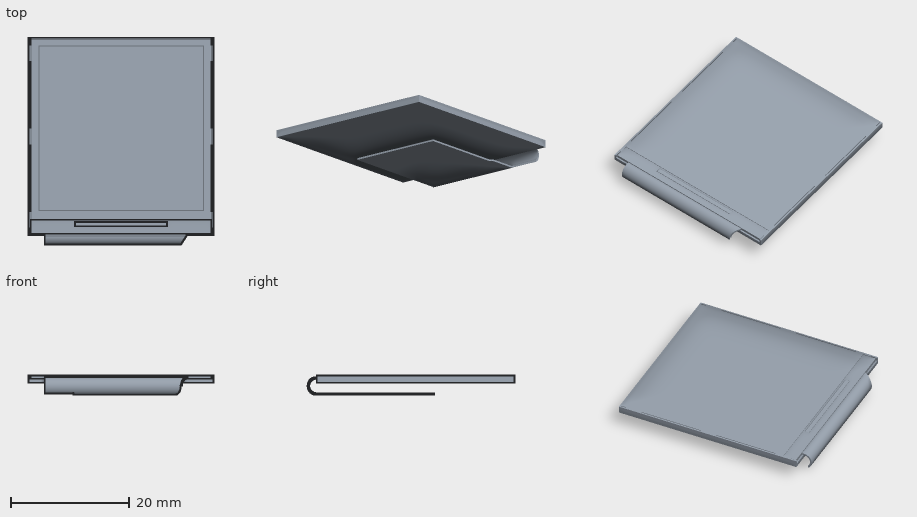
import cadquery as cq
import math


FRAME_WIDTH = 31.39
FRAME_LENGTH = 33.5
FRAME_HEIGHT = 1.25
WALL = 0.28
SIDE_GAP = 0.13
PAD_LENGTH = 2.9
PAD_SPACING = 14.1
BACK_Y = FRAME_LENGTH / 2
FRONT_Y = -BACK_Y

FLEX_TOP_Z = -0.28
FLEX_BOTTOM_Z = -3.3
FLEX_THICKNESS = 0.3
BEND_OUTER = (FLEX_TOP_Z - FLEX_BOTTOM_Z) / 2
BEND_INNER = BEND_OUTER - FLEX_THICKNESS
BEND_REACH = 1.56
BEND_Y = FRONT_Y - BEND_REACH + BEND_OUTER
BEND_Z = FLEX_TOP_Z - BEND_OUTER
CAVITY_DEPTH = FLEX_THICKNESS - FLEX_TOP_Z

FLEX_LEFT_X = -12.95
FLEX_RIGHT_X = 11.33
RIGHT_SLANT = math.tan(math.radians(33))
TAIL_LEFT_X = -8.05
TAIL_RIGHT_X = 9.2
TAIL_END_Y = 3.17
LEFT_END_Y = FRONT_Y - 0.82
TAIL_STEP_Y = -11.9
TAIL_STEP_RADIUS = 0.26

GLASS_WIDTH = FRAME_WIDTH - 2 * (WALL + SIDE_GAP)
GLASS_BACK_Y = BACK_Y - WALL
GLASS_FRONT_Y = FRONT_Y + 0.28
LEDGE_BACK_Y = FRONT_Y + 2.63
LEDGE_DEPTH = 0.1
ACTIVE_SIZE = 27.84
ACTIVE_BACK_Y = BACK_Y - 1.38

CHIP_WIDTH = 15.7
CHIP_BACK_Y = FRONT_Y + 2.35
CHIP_FRONT_Y = FRONT_Y + 1.52
CHIP_HEIGHT = LEDGE_DEPTH
CHIP_TAPER = 0.13

MARGIN = 1.0


def block(x_min, x_max, y_min, y_max, z_min, z_max):
    """Box given by its limits."""
    size = (x_max - x_min, y_max - y_min, z_max - z_min)
    return cq.Workplane("XY").box(*size, centered=False).translate((x_min, y_min, z_min))


def centred_block(width, y_min, y_max, z_min, z_max):
    """Box that is symmetric about X = 0."""
    return block(-width / 2, width / 2, y_min, y_max, z_min, z_max)


def make_frame():
    """Tray that is open at the front, with pads on its side walls."""
    cavity_width = FRAME_WIDTH - 2 * WALL
    frame = centred_block(FRAME_WIDTH, FRONT_Y, BACK_Y, -FRAME_HEIGHT, 0)
    cavity = centred_block(cavity_width, FRONT_Y - MARGIN, GLASS_BACK_Y, -CAVITY_DEPTH, MARGIN)
    frame = frame.cut(cavity)
    for index in (-1, 0, 1):
        pad_front = index * PAD_SPACING - PAD_LENGTH / 2
        pad_pair = centred_block(cavity_width, pad_front, pad_front + PAD_LENGTH, -CAVITY_DEPTH, 0)
        glass_room = centred_block(GLASS_WIDTH, FRONT_Y, BACK_Y, -CAVITY_DEPTH, 0)
        frame = frame.union(pad_pair.cut(glass_room))
    return frame


def make_chip():
    """Driver chip with an upright front and sloping back and ends."""
    top_width = CHIP_WIDTH - 2 * CHIP_TAPER
    base_depth = CHIP_BACK_Y - CHIP_FRONT_Y
    top_depth = base_depth - CHIP_TAPER
    return (
        cq.Workplane("XY", origin=(0, CHIP_FRONT_Y, -LEDGE_DEPTH))
        .center(0, base_depth / 2)
        .rect(CHIP_WIDTH, base_depth)
        .workplane(offset=CHIP_HEIGHT)
        .center(0, (top_depth - base_depth) / 2)
        .rect(top_width, top_depth)
        .loft()
    )


def make_glass():
    """Glass with a lower strip along the front that carries the driver chip."""
    glass = centred_block(GLASS_WIDTH, GLASS_FRONT_Y, GLASS_BACK_Y, -CAVITY_DEPTH, 0)
    strip = centred_block(FRAME_WIDTH, FRONT_Y, LEDGE_BACK_Y, -LEDGE_DEPTH, MARGIN)
    return glass.cut(strip).union(make_chip())


def make_active_area():
    """Square lit area, level with the glass."""
    return centred_block(ACTIVE_SIZE, ACTIVE_BACK_Y - ACTIVE_SIZE, ACTIVE_BACK_Y, -LEDGE_DEPTH, 0)


def make_flex_band():
    """C-shaped band: short upper flat, half-round bend and full-width lower flat."""
    return (
        cq.Workplane("YZ")
        .moveTo(GLASS_FRONT_Y, FLEX_TOP_Z)
        .lineTo(BEND_Y, FLEX_TOP_Z)
        .threePointArc((BEND_Y - BEND_OUTER, BEND_Z), (BEND_Y, FLEX_BOTTOM_Z))
        .lineTo(TAIL_END_Y, FLEX_BOTTOM_Z)
        .lineTo(TAIL_END_Y, FLEX_BOTTOM_Z + FLEX_THICKNESS)
        .lineTo(BEND_Y, FLEX_BOTTOM_Z + FLEX_THICKNESS)
        .threePointArc((BEND_Y - BEND_INNER, BEND_Z), (BEND_Y, FLEX_TOP_Z - FLEX_THICKNESS))
        .lineTo(GLASS_FRONT_Y, FLEX_TOP_Z - FLEX_THICKNESS)
        .close()
        .extrude(FLEX_RIGHT_X - FLEX_LEFT_X)
        .translate((FLEX_LEFT_X, 0, 0))
    )


def right_slant_cut():
    """Two wedges that narrow the right edge, first toward the bend's tip and then back."""
    tip_y = BEND_Y - BEND_OUTER
    tip_x = FLEX_RIGHT_X - RIGHT_SLANT * (GLASS_FRONT_Y - tip_y)
    tail_slant_end_y = tip_y + (tip_x - TAIL_RIGHT_X) / RIGHT_SLANT
    outside_x = FLEX_RIGHT_X + MARGIN
    upper_wedge = (
        cq.Workplane("XY", origin=(0, 0, BEND_Z))
        .moveTo(FLEX_RIGHT_X, GLASS_FRONT_Y)
        .lineTo(tip_x, tip_y)
        .lineTo(outside_x, tip_y)
        .lineTo(outside_x, GLASS_FRONT_Y)
        .close()
        .extrude(BEND_OUTER + MARGIN)
    )
    lower_wedge = (
        cq.Workplane("XY", origin=(0, 0, BEND_Z))
        .moveTo(tip_x, tip_y)
        .lineTo(TAIL_RIGHT_X, tail_slant_end_y)
        .lineTo(TAIL_RIGHT_X, TAIL_END_Y + MARGIN)
        .lineTo(outside_x, TAIL_END_Y + MARGIN)
        .lineTo(outside_x, tip_y)
        .close()
        .extrude(-BEND_OUTER - MARGIN)
    )
    return upper_wedge.union(lower_wedge)


def left_tail_cut():
    """Body that trims the lower flat on the left, leaving the full width only on the bend.

    The tail narrows again further back, by an S of two quarter arcs.
    """
    radius = TAIL_STEP_RADIUS
    arc_height = radius * (1 - math.sin(math.pi / 4))
    middle_x = TAIL_LEFT_X + radius
    narrow_x = TAIL_LEFT_X + 2 * radius
    outside_x = FLEX_LEFT_X - MARGIN
    return (
        cq.Workplane("XY", origin=(0, 0, BEND_Z))
        .moveTo(outside_x, LEFT_END_Y)
        .lineTo(TAIL_LEFT_X, LEFT_END_Y)
        .lineTo(TAIL_LEFT_X, TAIL_STEP_Y - radius)
        .threePointArc((TAIL_LEFT_X + arc_height, TAIL_STEP_Y - arc_height), (middle_x, TAIL_STEP_Y))
        .threePointArc((narrow_x - arc_height, TAIL_STEP_Y + arc_height), (narrow_x, TAIL_STEP_Y + radius))
        .lineTo(narrow_x, TAIL_END_Y + MARGIN)
        .lineTo(outside_x, TAIL_END_Y + MARGIN)
        .close()
        .extrude(-BEND_OUTER - MARGIN)
    )


def make_flex():
    """Flexible tail, trimmed to its outline."""
    return make_flex_band().cut(right_slant_cut()).cut(left_tail_cut())


result = (
    make_frame()
    .union(make_glass(), clean=False)
    .union(make_active_area(), clean=False)
    .union(make_flex(), clean=False)
)